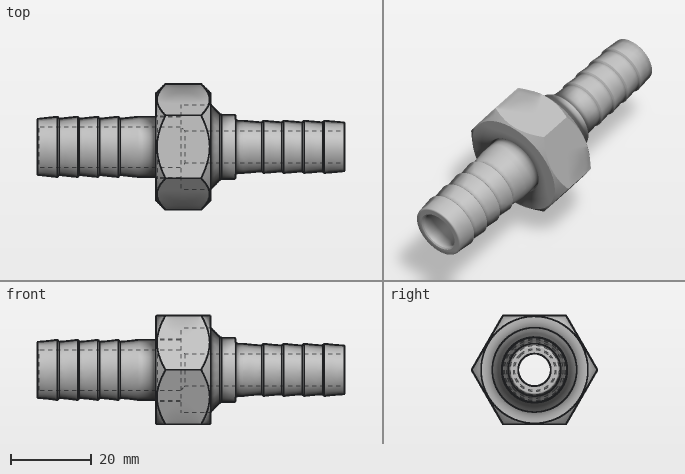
import cadquery as cq
import math

overall_length = 76.0
barb_pitch = 5.0
barb_count = 4
step_length = 0.45
end_rounding = 0.4

nut_start = 29.3
nut_end = 42.9
across_flats = 27.0
across_corners = across_flats / math.cos(math.pi / 6)
nut_face_diameter = 26.45
nut_hole_diameter = 15.5
nut_hole_mouth = 16.0
nut_wall = 6.1

large_crest = 15.0 / 2
large_valley = 7.0
large_bore = 10.0
bore_chamfer = 0.3
large_first_step = 4.95
large_end = nut_start + nut_wall

small_crest = 13.0 / 2
small_valley = 6.1
small_bore = 8.0
plug_diameter = 20.9
collar_diameter = 15.95
cone_end = 45.15
collar_end = 49.0
collar_rounding = 0.45
collar_easing = 0.15
neck_fillet = 0.6
taper_start = 50.85
small_first_step = 55.5


def revolve_about_x(profile):
    """Turn a profile drawn as (x, radius) into a solid about the X axis."""
    return profile.close().revolve(360, (0, 0, 0), (1, 0, 0))


def cylinder_along_x(start, end, diameter):
    return cq.Workplane("YZ", origin=(start, 0, 0)).circle(diameter / 2).extrude(end - start)


def cone_along_x(start, end, start_radius, end_radius):
    profile = cq.Workplane("XY").moveTo(start, 0).lineTo(start, start_radius)
    return revolve_about_x(profile.lineTo(end, end_radius).lineTo(end, 0))


def make_large_tail():
    profile = cq.Workplane("XY").moveTo(0, 0).lineTo(0, large_valley - end_rounding)
    profile = profile.radiusArc((end_rounding, large_valley), end_rounding)
    for index in range(barb_count):
        step = large_first_step + index * barb_pitch
        profile = profile.lineTo(step, large_crest)
        profile = profile.lineTo(step + step_length, large_valley)
    taper_end = large_first_step + barb_count * barb_pitch
    profile = profile.lineTo(taper_end, large_crest)
    tail = revolve_about_x(profile.lineTo(large_end, large_crest).lineTo(large_end, 0))
    bore_radius = large_bore / 2
    mouth = cone_along_x(0, bore_chamfer, bore_radius + bore_chamfer, bore_radius)
    return tail.cut(cylinder_along_x(0, large_end, large_bore)).cut(mouth)


def make_nut():
    nut = cq.Workplane("YZ", origin=(nut_start, 0, 0)).polygon(6, across_corners)
    nut = nut.extrude(nut_end - nut_start)

    face_radius = nut_face_diameter / 2
    middle = (nut_start + nut_end) / 2
    middle_radius = face_radius + middle - nut_start
    nut = nut.intersect(
        cone_along_x(nut_start, middle, face_radius, middle_radius).union(
            cone_along_x(middle, nut_end, middle_radius, face_radius)
        )
    )

    mouth_depth = (nut_hole_mouth - nut_hole_diameter) / 2
    mouth = cone_along_x(nut_start, nut_start + mouth_depth, nut_hole_mouth / 2, nut_hole_diameter / 2)
    nut = nut.cut(cylinder_along_x(nut_start, nut_end, nut_hole_diameter)).cut(mouth)
    return nut.cut(cylinder_along_x(large_end, nut_end, plug_diameter))


def make_small_tail():
    collar_radius = collar_diameter / 2
    profile = cq.Workplane("XY").moveTo(large_end, 0).lineTo(large_end, plug_diameter / 2)
    profile = profile.lineTo(nut_end, plug_diameter / 2)
    profile = profile.lineTo(cone_end, collar_radius + collar_easing)
    profile = profile.lineTo(cone_end + collar_rounding, collar_radius)
    profile = profile.lineTo(collar_end - collar_rounding, collar_radius)
    profile = profile.radiusArc((collar_end, collar_radius - collar_rounding), collar_rounding)
    profile = profile.lineTo(collar_end, small_crest + neck_fillet)
    profile = profile.radiusArc((collar_end + neck_fillet, small_crest), -neck_fillet)
    profile = profile.lineTo(taper_start, small_crest)
    for index in range(barb_count):
        step = small_first_step + index * barb_pitch
        profile = profile.lineTo(step, small_valley)
        profile = profile.lineTo(step + step_length, small_crest)
    profile = profile.lineTo(overall_length - end_rounding, small_valley)
    profile = profile.radiusArc((overall_length, small_valley - end_rounding), end_rounding)
    tail = revolve_about_x(profile.lineTo(overall_length, 0))

    lead_in = (large_bore - small_bore) / 2
    tail = tail.cut(cylinder_along_x(large_end, overall_length, small_bore))
    return tail.cut(cone_along_x(large_end, large_end + lead_in, large_bore / 2, small_bore / 2))


large_tail = make_large_tail()
nut = make_nut()
small_tail = make_small_tail()

result = cq.Compound.makeCompound([large_tail.val(), nut.val(), small_tail.val()])